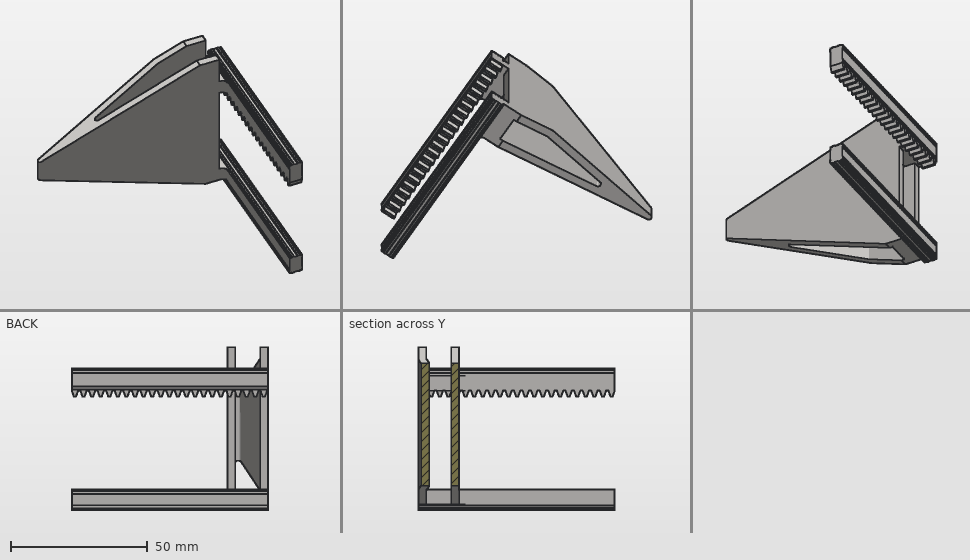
import cadquery as cq
import math


rail_length = 71.9
rail_depth = 5.02
ridge_height = 0.22
rear_ridge_height = 0.1
rail_back = -rear_ridge_height
rail_front = rail_back - rail_depth
lower_rail_bottom = ridge_height
lower_rail_top = 7.44
upper_rail_top = 51.7

ridge_width = 1.24
ridge_spacing = 2.44
side_ridge_inset = 0.98

gear_module = 1.0
pressure_angle = 20
tooth_pitch = math.pi * gear_module
tooth_depth = 2.25 * gear_module
first_tooth_x = 1.62
tooth_count = 23
rack_root = 43.7
tooth_tip_width = 0.75
tooth_root_width = tooth_tip_width + 2 * tooth_depth * math.tan(math.radians(pressure_angle))

finger_width = 15.0
finger_back = 7.5
finger_bottom = 2.13
finger_top = 59.68
finger_tip = 80.08
tip_radius = 1.0
wall = 3.0
bend_radius = 5.0
side_angle = 14.0
taper_angle = 20.54
top_slope_start = 15.3
bottom_slope_start = 13.15
window_end = 55.6
window_radius = 0.9

neck_front = 11.9
upper_neck_top = 49.26
neck_fillet = 2.0


def box(x0, x1, y0, y1, z0, z1):
    """Box between two opposite corners."""
    return cq.Workplane("XY").box(x1 - x0, y1 - y0, z1 - z0, centered=False).translate((x0, y0, z0))


def ridge(y, z, out_y, out_z, height=ridge_height):
    """Full-length ridge centred at (y, z), standing out along (out_y, out_z)."""
    half_base = ridge_width / 2
    half_crest = half_base - height
    profile = [(-half_base, 0), (half_base, 0), (half_crest, height), (-half_crest, height)]
    points = [(y + a * out_z + h * out_y, z + a * out_y + h * out_z) for a, h in profile]
    return cq.Workplane("YZ").polyline(points).close().extrude(rail_length)


def make_rail(bottom, top, ridged_faces, front_ridge_z):
    """Rail with two ridges on each (z, direction) of ridged_faces, two at the rear and one in front."""
    rail = box(0, rail_length, rail_front, rail_back, bottom, top)
    middle_y = (rail_front + rail_back) / 2
    for z, direction in ridged_faces:
        for y in (middle_y - ridge_spacing / 2, middle_y + ridge_spacing / 2):
            rail = rail.union(ridge(y, z, 0, direction))
    for z in (bottom + side_ridge_inset, top - side_ridge_inset):
        rail = rail.union(ridge(rail_back, z, 1, 0, rear_ridge_height))
    return rail.union(ridge(rail_front, front_ridge_z, -1, 0))


def make_lower_rail():
    ridged_faces = [(lower_rail_top, 1), (lower_rail_bottom, -1)]
    return make_rail(lower_rail_bottom, lower_rail_top, ridged_faces, lower_rail_bottom + side_ridge_inset)


def make_upper_rail():
    return make_rail(rack_root, upper_rail_top, [(upper_rail_top, 1)], upper_rail_top - side_ridge_inset)


def make_rack_teeth():
    """Straight-flanked teeth; the last one is cut off by the end of the rail."""
    half_root = tooth_root_width / 2
    half_tip = tooth_tip_width / 2
    tip_z = rack_root - tooth_depth
    teeth = cq.Workplane("XZ", origin=(0, rail_back, 0))
    for i in range(tooth_count):
        x = first_tooth_x + i * tooth_pitch
        teeth = teeth.polyline(
            [(x - half_root, rack_root), (x - half_tip, tip_z), (x + half_tip, tip_z), (x + half_root, rack_root)]
        ).close()
    teeth = teeth.extrude(rail_depth)
    return teeth.intersect(box(0, rail_length, rail_front, rail_back, tip_z, rack_root))


def make_neck(z0, z1):
    """Block from rail to finger, with a fillet in the corner it makes with the rail's front face."""
    block = box(0, finger_width, -neck_front, rail_back, z0, z1)
    corner = (
        cq.Workplane("XY", origin=(0, 0, z0))
        .moveTo(finger_width, rail_front)
        .lineTo(finger_width + neck_fillet, rail_front)
        .radiusArc((finger_width, rail_front - neck_fillet), -neck_fillet)
        .close()
        .extrude(z1 - z0)
    )
    return block.union(corner)


def make_finger():
    height = finger_top - finger_bottom
    slant = math.tan(math.radians(side_angle))
    taper = math.tan(math.radians(taper_angle))

    tip_x = finger_width - tip_radius
    tip_y = finger_tip - tip_radius
    slant_end_x = tip_x - tip_radius * math.cos(math.radians(side_angle))
    slant_end_y = tip_y + tip_radius * math.sin(math.radians(side_angle))
    bend_y = slant_end_y - slant_end_x / slant
    body = (
        cq.Workplane("XY", origin=(0, 0, finger_bottom))
        .moveTo(0, -finger_back)
        .lineTo(finger_width, -finger_back)
        .lineTo(finger_width, -tip_y)
        .threePointArc((tip_x, -finger_tip), (slant_end_x, -slant_end_y))
        .lineTo(0, -bend_y)
        .close()
        .extrude(height)
    )
    bend_edge = cq.selectors.NearestToPointSelector((0, -bend_y, finger_bottom + height / 2))
    body = body.edges("|Z").edges(bend_edge).fillet(bend_radius)

    inner_bend_y = bend_y - wall * math.tan(math.radians(side_angle / 2))
    window = (
        cq.Workplane("XY", origin=(0, 0, finger_bottom))
        .polyline(
            [(wall, -finger_back), (finger_width - wall, -finger_back), (finger_width - wall, -window_end),
             (wall + (window_end - inner_bend_y) * slant, -window_end), (wall, -inner_bend_y)]
        )
        .close()
        .extrude(height)
        .faces("<Y")
        .edges("|Z")
        .fillet(window_radius)
    )

    side = (
        cq.Workplane("YZ")
        .polyline(
            [(-finger_back, finger_bottom), (-finger_back, finger_top), (-top_slope_start, finger_top),
             (-finger_tip, finger_top - (finger_tip - top_slope_start) * taper),
             (-finger_tip, finger_bottom + (finger_tip - bottom_slope_start) * taper),
             (-bottom_slope_start, finger_bottom)]
        )
        .close()
        .extrude(finger_width)
    )
    return body.cut(window).intersect(side)


result = (
    make_finger()
    .union(make_neck(finger_bottom, lower_rail_top))
    .union(make_neck(rack_root, upper_neck_top))
    .union(make_lower_rail())
    .union(make_upper_rail())
    .union(make_rack_teeth())
)